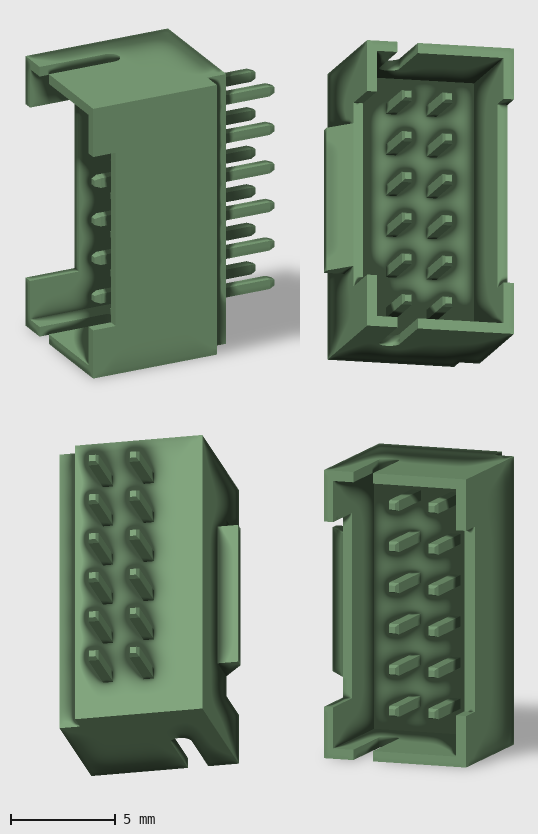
import cadquery as cq

rows = 6
columns = 2
height = 14.0
pitch = height / (rows + 1)
half_pitch = pitch / 2
quarter_pitch = pitch / 4
width = 7.25
depth = 7.6

end_wall = quarter_pitch
plain_side_wall = 0.52
catch_side_wall = 0.48
floor_thickness = 1.97
pocket_depth = depth - floor_thickness

window_height = 4.5 * pitch
catch_side_window_depth = 2.6
plain_side_window_depth = 1.2
slot_width = half_pitch
slot_offset = 3 * quarter_pitch
slot_depth = 2 * pitch
notch_size = half_pitch

catch_height = height / 2
catch_reach = half_pitch
catch_back = 4.4
catch_land = quarter_pitch
catch_toe = catch_side_window_depth

pin_size = quarter_pitch
tip_size = 0.31
tip_length = 0.3
pin_front = 2.3
solder_length = 3.3
pin_back = depth + solder_length


def block(x_start, x_end, y_start, y_end, z_size):
    """Box between the given X and Y limits, centred on z = 0."""
    return cq.Workplane("XY").box(
        x_end - x_start, y_end - y_start, z_size, centered=(False, False, True)
    ).translate((x_start, y_start, 0))


def make_housing():
    """Shrouded housing with its pocket, side windows, key slots and back notch."""
    left = -width / 2
    right = width / 2
    housing = block(left, right, 0, depth, height)
    pocket_height = height - 2 * end_wall
    pocket = block(left + catch_side_wall, right - plain_side_wall, 0, pocket_depth, pocket_height)
    catch_side_window = block(left, 0, 0, catch_side_window_depth, window_height)
    plain_side_window = block(0, right, 0, plain_side_window_depth, window_height)
    notch = block(right - notch_size, right, depth - notch_size, depth, height)
    housing = housing.cut(pocket).cut(catch_side_window).cut(plain_side_window).cut(notch)
    return housing.cut(make_key_slot())


def make_key_slot():
    """Round-ended slot that passes through both end walls along Z."""
    slot_left = -width / 2 + slot_offset
    slot_right = slot_left + slot_width
    radius = slot_width / 2
    return (
        cq.Workplane("XY")
        .moveTo(slot_left, 0)
        .lineTo(slot_left, slot_depth - radius)
        .threePointArc((slot_left + radius, slot_depth), (slot_right, slot_depth - radius))
        .lineTo(slot_right, 0)
        .close()
        .extrude(height / 2, both=True)
    )


def make_catch():
    """Wedge that ramps up from the mouth and ends in a square shoulder."""
    root = -width / 2
    crest = root - catch_reach
    return (
        cq.Workplane("XY")
        .polyline([
            (root, catch_toe),
            (crest, catch_back - catch_land),
            (crest, catch_back),
            (root, catch_back),
        ])
        .close()
        .extrude(catch_height / 2, both=True)
    )


def make_tip(shoulder_y, end_y):
    """Tapered pin end from the full section at shoulder_y to the small face at end_y."""
    toward_end = 1 if end_y > shoulder_y else -1
    base = cq.Plane(origin=(0, shoulder_y, 0), xDir=(1, 0, 0), normal=(0, toward_end, 0))
    return (
        cq.Workplane(base)
        .rect(pin_size, pin_size)
        .workplane(offset=tip_length)
        .rect(tip_size, tip_size)
        .loft(combine=True)
    )


def make_pin():
    """One straight pin along Y, tapered at both ends."""
    shank_front = pin_front + tip_length
    shank_back = pin_back - tip_length
    shank = block(-pin_size / 2, pin_size / 2, shank_front, shank_back, pin_size)
    return shank.union(make_tip(shank_front, pin_front)).union(make_tip(shank_back, pin_back))


result = make_housing().union(make_catch())
pin = make_pin()
for column in range(columns):
    for row in range(rows):
        pin_x = (column - (columns - 1) / 2) * pitch
        pin_z = (row - (rows - 1) / 2) * pitch
        result = result.union(pin.translate((pin_x, 0, pin_z)))